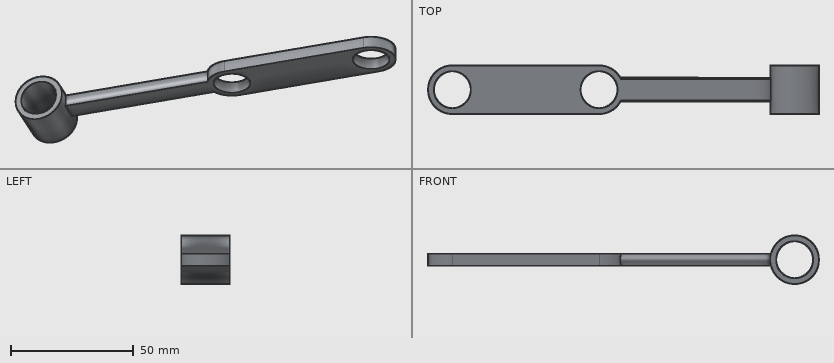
import cadquery as cq

eye_diameter = 20.0
bore_diameter = 15.0
plate_hole_spacing = 60.0
tube_distance = 80.0
tube_length = 20.0
plate_thickness = 5.0
rod_diameter = 10.0

near_hole_x = plate_hole_spacing
tube_x = near_hole_x + tube_distance


def tube_cylinder(diameter):
    """Solid cylinder along Y on the tube axis, centred on the mid-plane."""
    return (
        cq.Workplane("XZ")
        .center(tube_x, 0)
        .circle(diameter / 2)
        .extrude(tube_length / 2, both=True)
    )


def make_plate():
    """Flat link with full-round ends, each concentric with a hole."""
    return (
        cq.Workplane("XY")
        .center(near_hole_x / 2, 0)
        .slot2D(plate_hole_spacing + eye_diameter, eye_diameter)
        .extrude(plate_thickness / 2, both=True)
    )


def make_arm():
    """Round rod along X with flats level with the plate faces."""
    rod = (
        cq.Workplane("YZ", origin=(near_hole_x, 0, 0))
        .circle(rod_diameter / 2)
        .extrude(tube_distance)
    )
    flat_slab = (
        cq.Workplane("XY")
        .box(tube_distance, rod_diameter, plate_thickness)
        .translate((near_hole_x + tube_distance / 2, 0, 0))
    )
    return rod.intersect(flat_slab)


def make_plate_holes():
    """Cutters for the two holes through the plate."""
    return (
        cq.Workplane("XY")
        .pushPoints([(0, 0), (near_hole_x, 0)])
        .circle(bore_diameter / 2)
        .extrude(plate_thickness / 2, both=True)
    )


body = make_plate().union(make_arm()).union(tube_cylinder(eye_diameter))
result = body.cut(make_plate_holes()).cut(tube_cylinder(bore_diameter))